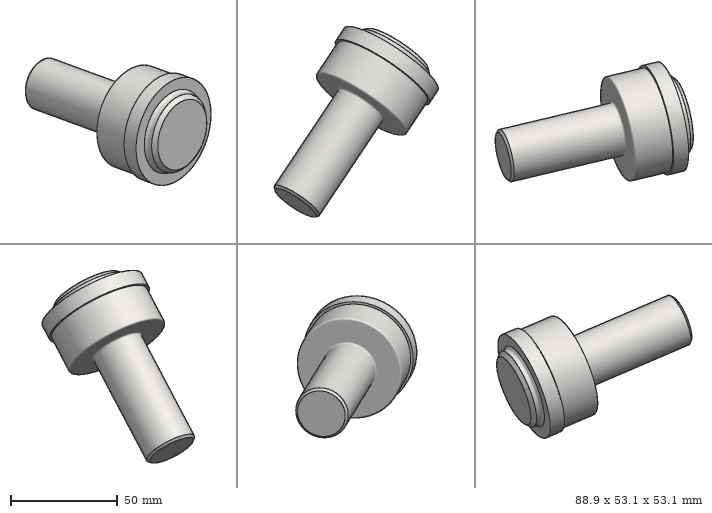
import cadquery as cq
import math

length = 88.9
shoulder_x = 57.1
collar_start_x = 75.8
collar_end_x = 83.4
cone_end_x = 84.45
nose_chamfer_x = 86.85

shank_radius = 12.7
head_radius = 25.3
collar_diameter = 53.1
collar_radius = collar_diameter / 2
nose_radius = 19.4

shank_chamfer = 1.2
round_radius = 0.8
nose_chamfer = length - nose_chamfer_x

half_root = math.sqrt(0.5)
blend_end_x = cone_end_x + round_radius * half_root
cone_end_radius = nose_radius + round_radius * (1 - half_root)
cone_start_radius = cone_end_radius + (cone_end_x - collar_end_x)

blend_half_angle = math.radians(22.5)
blend_mid_x = blend_end_x - round_radius * math.sin(blend_half_angle)
blend_mid_radius = nose_radius + round_radius * (1 - math.cos(blend_half_angle))

round_mid = round_radius * (1 - half_root)

profile = (
    cq.Workplane("XY")
    .lineTo(0, shank_radius - shank_chamfer)
    .lineTo(shank_chamfer, shank_radius)
    .lineTo(shoulder_x - round_radius, shank_radius)
    .threePointArc(
        (shoulder_x - round_mid, shank_radius + round_mid),
        (shoulder_x, shank_radius + round_radius),
    )
    .lineTo(shoulder_x, head_radius - round_radius)
    .threePointArc(
        (shoulder_x + round_mid, head_radius - round_mid),
        (shoulder_x + round_radius, head_radius),
    )
    .lineTo(collar_start_x, head_radius)
    .lineTo(collar_start_x, collar_radius)
    .lineTo(collar_end_x, collar_radius)
    .lineTo(collar_end_x, cone_start_radius)
    .lineTo(cone_end_x, cone_end_radius)
    .threePointArc((blend_mid_x, blend_mid_radius), (blend_end_x, nose_radius))
    .lineTo(nose_chamfer_x, nose_radius)
    .lineTo(length, nose_radius - nose_chamfer)
    .lineTo(length, 0)
    .close()
)

result = profile.revolve(360, (0, 0, 0), (1, 0, 0))